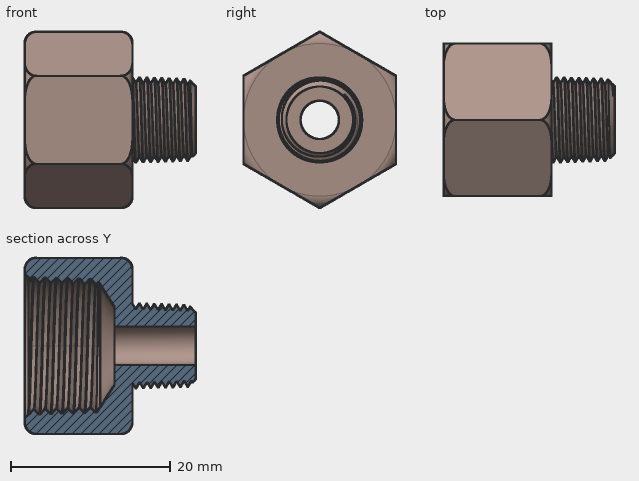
import cadquery as cq
import math

ACROSS_CORNERS = 22.17
ACROSS_FLATS = ACROSS_CORNERS * math.cos(math.radians(30))
TOTAL_LENGTH = 21.55
BODY_LENGTH = 13.6
CORNER_ROUND = (ACROSS_CORNERS - ACROSS_FLATS) / 2

X_OPEN = -TOTAL_LENGTH / 2
X_SHOULDER = X_OPEN + BODY_LENGTH
X_TIP = X_OPEN + TOTAL_LENGTH

TAPER_SLOPE = 1 / 32
TAPER_ANGLE = math.degrees(math.atan(TAPER_SLOPE))

MALE_PITCH = 0.93
MALE_DEPTH = 0.69
MALE_CREST_RADIUS = 5.37
MALE_CREST_WIDTH = 0.07
MALE_ROOT_WIDTH = 0.05
MALE_CREST_OFFSET = 0.86
TIP_RADIUS = 4.2
HIDDEN_TURNS = 2
TIP_SLOPE = 1.0

CUTTER_RADIUS = 9.98
CUTTER_LENGTH = 6.65
SEAM_TURN = 100.0

FEMALE_PITCH = 1.42
FEMALE_MAJOR_RADIUS = 8.65
FEMALE_DEPTH = 0.67
FEMALE_CREST_WIDTH = 0.05
FEMALE_TURNS = 8
MINOR_CLEARANCE = 0.02
LEAD_TURNS = 1.42
FEMALE_ROOT_WIDTH = 0.13
THREADED_DEPTH = 9.53
MOUTH_RADIUS = 9.1
MOUTH_CHAMFER = 0.53

FLOOR_RADIUS = 4.88
FLOOR_DEPTH = 11.3
RUNOUT_GAP = 0.05
BORE_RADIUS = 2.4

MINOR_RADIUS = FEMALE_MAJOR_RADIUS - FEMALE_DEPTH + MINOR_CLEARANCE
RUNOUT_RADIUS = MINOR_RADIUS - TAPER_SLOPE * THREADED_DEPTH


def revolve(points):
    """Solid of revolution about X from (x, radius) points."""
    return cq.Workplane("XY").polyline(points).close().revolve(360, (0, 0, 0), (1, 0, 0))


def hex_body():
    prism = (
        cq.Workplane("YZ", origin=(X_OPEN, 0, 0))
        .polygon(6, ACROSS_CORNERS)
        .extrude(BODY_LENGTH)
        .rotate((0, 0, 0), (1, 0, 0), 90)
    )
    rounded_envelope = (
        cq.Workplane("YZ", origin=(X_OPEN, 0, 0))
        .circle(ACROSS_CORNERS / 2)
        .extrude(BODY_LENGTH)
        .edges("%CIRCLE")
        .fillet(CORNER_ROUND)
    )
    return prism.intersect(rounded_envelope)


def threaded_rod(turns, pitch, crest_radius, depth, crest_width, root_width, core_radius, lead):
    """Hollow tapered right-hand thread along X, starting with the crest on +Y at x = 0.

    The crest radius holds at the distance lead from the start.

    A one-pitch profile is carried around one turn at a time; neighbouring turns share an edge."""
    flank = (pitch - crest_width - root_width) / 2
    slant_pitch = pitch / math.cos(math.radians(TAPER_ANGLE))
    root_radius = crest_radius - depth
    profile = [
        (crest_radius, -crest_width / 2),
        (crest_radius, crest_width / 2),
        (root_radius, crest_width / 2 + flank),
        (root_radius, crest_width / 2 + flank + root_width),
        (crest_radius, pitch - crest_width / 2),
    ]
    core = [(core_radius, pitch - crest_width / 2), (core_radius, -crest_width / 2)]

    def points(outline, turn):
        shift = turn * pitch
        return [(r - TAPER_SLOPE * (z + shift - lead), z + shift) for r, z in outline]

    def strips(outline, turn):
        rails = [
            cq.Wire.makeHelix(slant_pitch, slant_pitch, r, cq.Vector(0, 0, z), angle=-TAPER_ANGLE)
            for r, z in points(outline, turn)
        ]
        return [cq.Face.makeRuledSurface(a, b) for a, b in zip(rails, rails[1:])]

    def radial_cap(turn):
        corners = [cq.Vector(r, 0, z) for r, z in points(profile + core, turn)]
        return cq.Face.makeFromWires(cq.Wire.makePolygon(corners, close=True))

    faces = [radial_cap(0), radial_cap(turns)]
    for turn in range(turns):
        faces += strips(profile, turn) + strips(core, turn)
    faces += strips([profile[0], core[1]], 0)
    faces += strips([profile[-1], core[0]], turns - 1)
    rod = cq.Workplane(cq.Solid.makeSolid(cq.Shell.makeShell(faces)))
    return rod.rotate((0, 0, 0), (1, 1, 1), 120)


def trim_end(rod, x_end, end_radius, cone_slope):
    """Cut a threaded rod off at x_end, with a cone leading down to end_radius there.

    The cutter is turned so that its seam stays clear of the seams between thread turns."""
    cutter = revolve([
        (x_end - (CUTTER_RADIUS - end_radius) / cone_slope, CUTTER_RADIUS),
        (x_end, end_radius),
        (x_end, 0),
        (x_end + CUTTER_LENGTH, 0),
        (x_end + CUTTER_LENGTH, CUTTER_RADIUS),
    ])
    return rod.cut(cutter.rotate((0, 0, 0), (1, 0, 0), SEAM_TURN))


def male_stub():
    start = X_SHOULDER + MALE_CREST_OFFSET - MALE_PITCH * (HIDDEN_TURNS + 0.25)
    turns = math.ceil((X_TIP - start) / MALE_PITCH) + 1
    rod = threaded_rod(
        turns, MALE_PITCH, MALE_CREST_RADIUS, MALE_DEPTH,
        MALE_CREST_WIDTH, MALE_ROOT_WIDTH, BORE_RADIUS / 2, X_SHOULDER - start,
    ).translate((start, 0, 0))
    return trim_end(rod, X_TIP, TIP_RADIUS, TIP_SLOPE)


def cavity():
    return revolve([
        (X_OPEN, 0),
        (X_OPEN, MINOR_RADIUS),
        (X_OPEN + THREADED_DEPTH, RUNOUT_RADIUS),
        (X_OPEN + FLOOR_DEPTH, FLOOR_RADIUS),
        (X_OPEN + FLOOR_DEPTH, 0),
    ])


def female_thread_cutter():
    lead = LEAD_TURNS * FEMALE_PITCH
    rod = threaded_rod(
        FEMALE_TURNS, FEMALE_PITCH, FEMALE_MAJOR_RADIUS, FEMALE_DEPTH,
        FEMALE_ROOT_WIDTH, FEMALE_CREST_WIDTH, BORE_RADIUS, lead,
    )
    rod = rod.translate((X_OPEN - lead, 0, 0))
    cone_slope = (RUNOUT_RADIUS - FLOOR_RADIUS) / (FLOOR_DEPTH - THREADED_DEPTH)
    return trim_end(rod, X_OPEN + FLOOR_DEPTH - RUNOUT_GAP, FLOOR_RADIUS, cone_slope)


def mouth_chamfer():
    return revolve([
        (X_OPEN, 0),
        (X_OPEN, MOUTH_RADIUS),
        (X_OPEN + MOUTH_CHAMFER, MOUTH_RADIUS - MOUTH_CHAMFER),
        (X_OPEN + MOUTH_CHAMFER, 0),
    ])


bore = cq.Workplane("YZ", origin=(X_OPEN, 0, 0)).circle(BORE_RADIUS).extrude(TOTAL_LENGTH)

body = hex_body().cut(cavity()).cut(mouth_chamfer()).cut(female_thread_cutter())
result = cq.Workplane(body.union(male_stub()).cut(bore).solids().val())